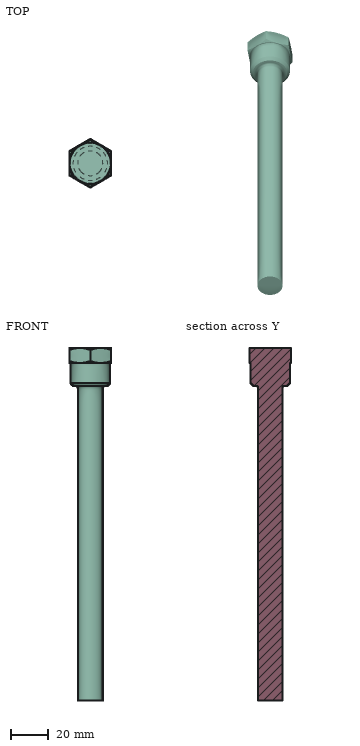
import cadquery as cq
import math

total_length = 186.0
across_flats = 22.0
head_height = 8.0
head_chamfer_angle = 30.0
collar_diameter = 21.0
collar_bottom_depth = 20.0
collar_chamfer = 1.5
rod_fillet_radius = 1.0
rod_diameter = 13.2

across_corners = across_flats / math.cos(math.radians(30))
chamfer_width = (across_corners - across_flats) / 2
chamfer_height = chamfer_width * math.tan(math.radians(head_chamfer_angle))
head_bottom = total_length - head_height
collar_bottom = total_length - collar_bottom_depth


def make_head():
    """Hexagonal head, corners along Y, with its corners turned off at top and bottom."""
    hexagon = (
        cq.Workplane("XY", origin=(0, 0, head_bottom))
        .polygon(6, across_corners)
        .extrude(head_height)
        .rotate((0, 0, 0), (0, 0, 1), 30)
    )
    turned_envelope = (
        cq.Workplane("XY", origin=(0, 0, head_bottom))
        .circle(across_corners / 2)
        .extrude(head_height)
        .faces("<Z or >Z")
        .chamfer(chamfer_height, chamfer_width)
    )
    return hexagon.intersect(turned_envelope)


def make_shank():
    """Collar with a chamfered lower edge, filleted into the long rod below it, turned about Z."""
    collar_radius = collar_diameter / 2
    rod_radius = rod_diameter / 2
    return (
        cq.Workplane("XZ")
        .moveTo(0, 0)
        .lineTo(rod_radius, 0)
        .lineTo(rod_radius, collar_bottom - rod_fillet_radius)
        .radiusArc((rod_radius + rod_fillet_radius, collar_bottom), rod_fillet_radius)
        .lineTo(collar_radius - collar_chamfer, collar_bottom)
        .lineTo(collar_radius, collar_bottom + collar_chamfer)
        .lineTo(collar_radius, head_bottom)
        .lineTo(0, head_bottom)
        .close()
        .revolve(360, (0, 0, 0), (0, 1, 0))
    )


result = make_shank().union(make_head())